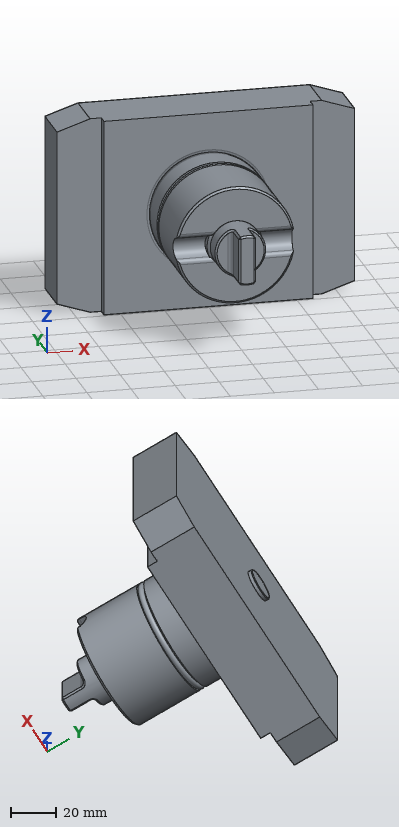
import cadquery as cq
import math


plate_width = 135.0
plate_height = 90.0
tongue_width = 94.8
tongue_depth = 5.0
flange_depth = 22.4
plate_depth = tongue_depth + flange_depth
corner_run = 15.0
corner_drop = 5.0

boss_diameter = 15.0
boss_height = 2.0
boss_chamfer = 0.4

barrel_radius = 54.0 / 2
barrel_length = 50.0
barrel_chamfer = 1.0

relief_radius = 53.6 / 2
relief_rim_radius = 55.9 / 2
relief_depth = barrel_radius - relief_radius
relief_straight = 1.0
relief_end = 1.8

groove_front = 18.2
groove_width = 3.6
ring_cord = 2.8
groove_floor_radius = barrel_radius - ring_cord

slot_radius = 5.0
slot_depth = 5.7
slot_lip_radius = 2.2

shaft_radius = 23.0 / 2
base_radius = 25.0 / 2
taper_length = 1.8
shoulder_height = 9.3
shaft_projection = 21.9
tang_thickness = 7.5
tang_root_radius = 2.0
shaft_chamfer = 0.8

barrel_end = -barrel_length
taper_start = barrel_end + taper_length
shoulder = barrel_end - shoulder_height
shaft_end = barrel_end - shaft_projection


def disc(radius, y_start, y_end):
    """Cylinder on the Y axis between two Y positions, y_start < y_end."""
    plane = cq.Workplane("XZ", origin=(0, y_end, 0))
    return plane.circle(radius).extrude(y_end - y_start)


def plate():
    """Flange with sloped corners and a narrower tongue on its front."""
    half_width = plate_width / 2
    half_height = plate_height / 2
    flange = (
        cq.Workplane("XZ", origin=(0, plate_depth, 0))
        .moveTo(-half_width, half_height - corner_drop)
        .lineTo(-half_width + corner_run, half_height)
        .lineTo(half_width - corner_run, half_height)
        .lineTo(half_width, half_height - corner_drop)
        .lineTo(half_width, -half_height + corner_drop)
        .lineTo(half_width - corner_run, -half_height)
        .lineTo(-half_width + corner_run, -half_height)
        .lineTo(-half_width, -half_height + corner_drop)
        .close()
        .extrude(flange_depth)
    )
    tongue = cq.Workplane("XZ", origin=(0, tongue_depth, 0)).rect(tongue_width, plate_height)
    return flange.union(tongue.extrude(tongue_depth))


def boss():
    """Low chamfered boss on the back of the plate."""
    solid = disc(boss_diameter / 2, plate_depth, plate_depth + boss_height)
    return solid.faces(">Y").chamfer(boss_chamfer)


def barrel():
    """Barrel with a chamfered front edge, rooted on the plate face."""
    solid = disc(barrel_radius, barrel_end, 0)
    return solid.faces("<Y").chamfer(barrel_chamfer)


def relief_undercut():
    """Ring-shaped cutter that relieves the barrel root and the plate face around it."""
    return (
        cq.Workplane("XY")
        .moveTo(relief_radius, relief_depth)
        .lineTo(relief_radius, -relief_straight)
        .lineTo(barrel_radius, -relief_end)
        .lineTo(relief_rim_radius, -relief_end)
        .lineTo(relief_rim_radius, 0)
        .close()
        .revolve(360, (0, 0, 0), (0, 1, 0))
    )


def ring_groove():
    """Square-sided groove around the barrel."""
    front = -groove_front
    back = front + groove_width
    return disc(relief_rim_radius, front, back).cut(disc(groove_floor_radius, front, back))


def end_slot():
    """Cutter along X: a round channel whose walls flare into the barrel end by rounded lips."""
    centre_y = barrel_end + slot_depth - slot_radius
    lip_y = barrel_end + slot_lip_radius
    centre_distance = slot_radius + slot_lip_radius
    lip_z = math.sqrt(centre_distance**2 - (lip_y - centre_y) ** 2)
    share = slot_radius / centre_distance
    join_y = centre_y + share * (lip_y - centre_y)
    join_z = share * lip_z
    lean = math.atan2(join_y - lip_y, lip_z - join_z)
    middle_angle = (lean - math.pi / 2) / 2
    middle_y = lip_y + slot_lip_radius * math.sin(middle_angle)
    middle_z = lip_z - slot_lip_radius * math.cos(middle_angle)
    return (
        cq.Workplane("YZ")
        .moveTo(barrel_end, lip_z)
        .threePointArc((middle_y, middle_z), (join_y, join_z))
        .threePointArc((barrel_end + slot_depth, 0), (join_y, -join_z))
        .threePointArc((middle_y, -middle_z), (barrel_end, -lip_z))
        .close()
        .extrude(barrel_radius, both=True)
    )


def shaft_blank():
    """Shaft before the tang is cut: a wide base that tapers to its front diameter."""
    return (
        cq.Workplane("XY")
        .moveTo(0, 0)
        .lineTo(base_radius, 0)
        .lineTo(base_radius, taper_start)
        .lineTo(shaft_radius, barrel_end)
        .lineTo(shaft_radius, shaft_end)
        .lineTo(0, shaft_end)
        .close()
        .revolve(360, (0, 0, 0), (0, 1, 0))
    )


def make_holder():
    """Plate, barrel and boss in one piece, bored for the shaft."""
    solid = plate().union(boss()).union(barrel())
    solid = solid.cut(relief_undercut()).cut(ring_groove())
    return solid.cut(end_slot()).cut(shaft_blank())


def make_seal_ring():
    """Round-section ring resting on the floor and the front wall of the groove."""
    centre_radius = barrel_radius - ring_cord / 2
    centre_y = -groove_front + ring_cord / 2
    return (
        cq.Workplane("XY")
        .center(centre_radius, centre_y)
        .circle(ring_cord / 2)
        .revolve(360, (-centre_radius, 0, 0), (-centre_radius, 1, 0))
    )


def tang_cutter(side):
    """Block beside the tang with a rounded root; side is -1 or +1 along X."""
    tang_face = tang_thickness / 2
    block = cq.Workplane("XY").box(
        shaft_radius, shoulder - shaft_end, 2 * base_radius, centered=(False, False, True)
    )
    block = block.edges("<X and >Y").fillet(tang_root_radius).translate((tang_face, shaft_end, 0))
    return block if side > 0 else block.mirror("YZ")


def make_shaft():
    """Shaft ending in a flat tang, with every outer edge of tang and shoulder chamfered."""
    solid = shaft_blank()
    for side in (-1, 1):
        solid = solid.cut(tang_cutter(side))
    edge_reach = 2 * base_radius
    front_zone = cq.selectors.BoxSelector(
        (-edge_reach, shaft_end - shaft_chamfer, -edge_reach),
        (edge_reach, shoulder + shaft_chamfer, edge_reach),
    )
    root_zone = cq.selectors.BoxSelector(
        (-shaft_radius, shaft_end + shaft_chamfer, -shaft_chamfer),
        (shaft_radius, shoulder + shaft_chamfer, shaft_chamfer),
    )
    return solid.edges(front_zone - root_zone).chamfer(shaft_chamfer)


holder = make_holder()
seal_ring = make_seal_ring()
shaft = make_shaft()

result = cq.Compound.makeCompound([holder.val(), seal_ring.val(), shaft.val()])